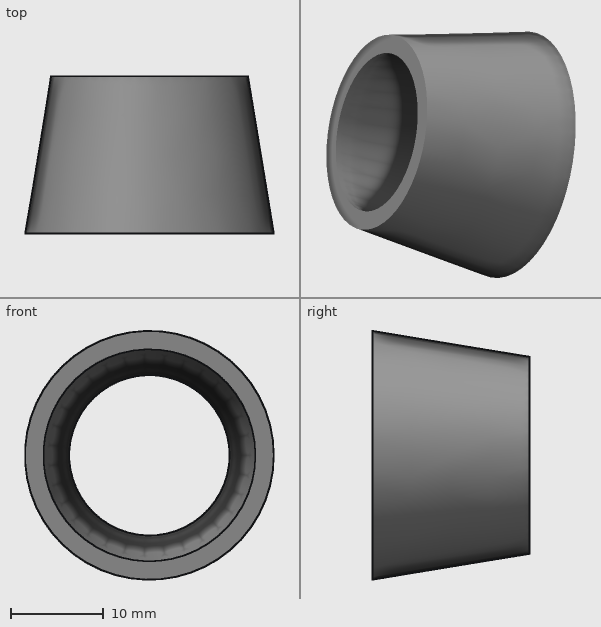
import cadquery as cq

large_outer_diameter = 26.9
small_outer_diameter = 21.3
wall_thickness = 2.0
length = 17.0

large_outer_radius = large_outer_diameter / 2
small_outer_radius = small_outer_diameter / 2
large_bore_radius = large_outer_radius - wall_thickness
small_bore_radius = small_outer_radius - wall_thickness


def make_reducer():
    """Revolve the sloping wall section about Y; the large end lies at Y = 0."""
    wall_section = (
        cq.Workplane("XY")
        .moveTo(large_bore_radius, 0)
        .lineTo(large_outer_radius, 0)
        .lineTo(small_outer_radius, length)
        .lineTo(small_bore_radius, length)
        .close()
    )
    return wall_section.revolve(360, (0, 0, 0), (0, 1, 0))


result = make_reducer()